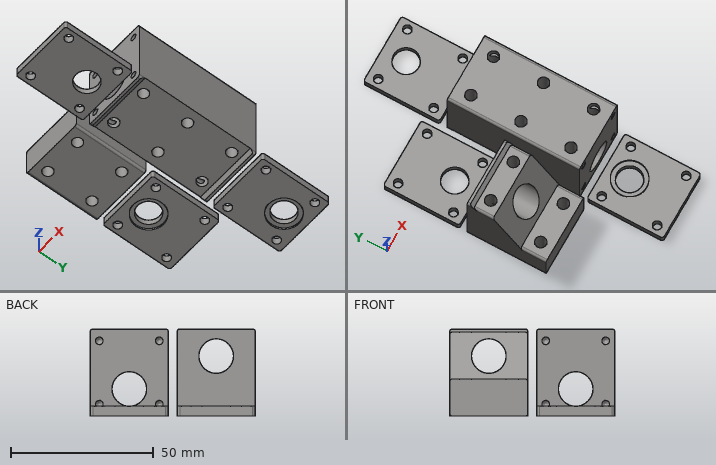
import cadquery as cq
import math

TOTAL_WIDTH = 57.8
TOTAL_LENGTH = 120.0
HEIGHT = 30.5
GAP = 3.0
EDGE_RADIUS = 1.0

WIDTH = (TOTAL_WIDTH - GAP) / 2
COLUMN_X = (WIDTH + GAP) / 2

PLATE_LENGTH = HEIGHT
PLATE_THICKNESS = 3.5
PLATE_HOLE_DIAMETER = 10.0
SCREW_HOLE_DIAMETER = 3.4
RECESS_DIAMETER = 13.5
RECESS_DEPTH = 0.8
BOTTOM_RECESS = 0.0
TOP_RECESS = PLATE_THICKNESS - RECESS_DEPTH

SCREW_SPACING_X = 21.0
SCREW_SPACING_LONG = 22.2

BORE_DIAMETER = 12.0
BORE_TO_EDGE = 9.5

MOUNT_DIAMETER = 4.3
MOUNT_SPACING_X = 16.3
MOUNT_SPACING_Y = 20.0

RELIEF_DEPTH = 1.1
LIP_WIDTH = 1.1
LIP_FOOT_WIDTH = 2.6

BLOCK_LENGTH = TOTAL_LENGTH - 2 * (PLATE_LENGTH + GAP)
TAPPED_DIAMETER = 2.6
TAPPED_DEPTH = 12.0
DRILL_POINT_ANGLE = 90.0

WEDGE_LENGTH = 31.7
SHELF_END = 10.5
SHELF_HEIGHT = HEIGHT - RELIEF_DEPTH
SLOPE_END = 21.5
STEP_HEIGHT = 13.0
MOUNT_TO_BACK = 6.5

WEDGE_SETBACK = 30.0
WEDGE_BACK_Y = -TOTAL_LENGTH / 2 + WEDGE_SETBACK + WEDGE_LENGTH


def cylinders_along_z(points, diameter, height):
    """Upright cylinders standing on the XY plane."""
    return cq.Workplane("XY").pushPoints(points).circle(diameter / 2).extrude(height)


def bore_along_y(length, axis_z):
    """Round bar along Y, from y = -length / 2 to y = length / 2."""
    return (
        cq.Workplane("XZ", origin=(0, length / 2, axis_z))
        .circle(BORE_DIAMETER / 2)
        .extrude(length)
    )


def make_plate(hole_side, recess_bottom):
    """Plate centred on the Z axis, with a round recess that starts at the height recess_bottom.

    hole_side is +1 or -1, the Y end that the large hole is near.
    """
    plate = (
        cq.Workplane("XY")
        .rect(WIDTH, PLATE_LENGTH)
        .extrude(PLATE_THICKNESS)
        .edges("|Z")
        .fillet(EDGE_RADIUS)
    )
    screw_points = [
        (x * SCREW_SPACING_X / 2, y * SCREW_SPACING_LONG / 2) for x in (-1, 1) for y in (-1, 1)
    ]
    hole_point = (0, hole_side * (PLATE_LENGTH / 2 - BORE_TO_EDGE))
    plate = plate.cut(cylinders_along_z(screw_points, SCREW_HOLE_DIAMETER, PLATE_THICKNESS))
    plate = plate.cut(cylinders_along_z([hole_point], PLATE_HOLE_DIAMETER, PLATE_THICKNESS))
    recess = cylinders_along_z([hole_point], RECESS_DIAMETER, RECESS_DEPTH)
    return plate.cut(recess.translate((0, 0, recess_bottom)))


def make_tapped_hole():
    """Drilled hole with a conical end, opening at z = 0 and going up along Z."""
    radius = TAPPED_DIAMETER / 2
    point_length = radius / math.tan(math.radians(DRILL_POINT_ANGLE / 2))
    return (
        cq.Workplane("XZ")
        .polyline([(0, 0), (radius, 0), (radius, TAPPED_DEPTH), (0, TAPPED_DEPTH + point_length)])
        .close()
        .revolve(360, (0, 0, 0), (0, 1, 0))
    )


def make_underside_relief():
    """Shallow channel across the underside of the long block, leaving a lip at each end."""
    mouth = BLOCK_LENGTH / 2 - LIP_WIDTH
    roof = BLOCK_LENGTH / 2 - LIP_FOOT_WIDTH
    return (
        cq.Workplane("YZ", origin=(-WIDTH / 2, 0, 0))
        .polyline([(-mouth, 0), (mouth, 0), (roof, RELIEF_DEPTH), (-roof, RELIEF_DEPTH)])
        .close()
        .extrude(WIDTH)
    )


def make_block():
    """Long block centred on the Z axis, standing on z = 0."""
    block = (
        cq.Workplane("XY")
        .box(WIDTH, BLOCK_LENGTH, HEIGHT, centered=(True, True, False))
        .edges("|Y")
        .fillet(EDGE_RADIUS)
    )
    block = block.cut(bore_along_y(BLOCK_LENGTH, BORE_TO_EDGE))
    block = block.cut(make_underside_relief())

    mount_points = [
        (x * MOUNT_SPACING_X / 2, y * MOUNT_SPACING_Y) for x in (-1, 1) for y in (-1, 0, 1)
    ]
    block = block.cut(cylinders_along_z(mount_points, MOUNT_DIAMETER, HEIGHT))

    tapped_hole = make_tapped_hole()
    for end in (-1, 1):
        pointing_in = tapped_hole.rotate((0, 0, 0), (1, 0, 0), end * 90)
        for side in (-1, 1):
            for level in (-1, 1):
                x = side * SCREW_SPACING_X / 2
                z = HEIGHT / 2 + level * SCREW_SPACING_LONG / 2
                block = block.cut(pointing_in.translate((x, end * BLOCK_LENGTH / 2, z)))
    return block


def make_wedge():
    """Wedge block centred on the Z axis, standing on z = 0, with its tall face at +Y."""
    back = WEDGE_LENGTH / 2
    wedge = (
        cq.Workplane("YZ", origin=(-WIDTH / 2, 0, 0))
        .polyline([
            (back, 0),
            (back, HEIGHT),
            (back - LIP_WIDTH, HEIGHT),
            (back - LIP_FOOT_WIDTH, SHELF_HEIGHT),
            (back - SHELF_END, SHELF_HEIGHT),
            (back - SLOPE_END, STEP_HEIGHT),
            (back - WEDGE_LENGTH, STEP_HEIGHT),
            (back - WEDGE_LENGTH, 0),
        ])
        .close()
        .extrude(WIDTH)
        .edges("|Y")
        .fillet(EDGE_RADIUS)
    )
    wedge = wedge.cut(bore_along_y(WEDGE_LENGTH, HEIGHT - BORE_TO_EDGE))

    first_row = back - MOUNT_TO_BACK
    mount_points = [
        (x * MOUNT_SPACING_X / 2, first_row - row * MOUNT_SPACING_Y) for x in (-1, 1) for row in (0, 1)
    ]
    return wedge.cut(cylinders_along_z(mount_points, MOUNT_DIAMETER, HEIGHT))


end_plate_y = (TOTAL_LENGTH - PLATE_LENGTH) / 2
left_plate_y = WEDGE_BACK_Y + GAP + PLATE_LENGTH / 2

block = make_block().translate((COLUMN_X, 0, 0))
wedge = make_wedge().translate((-COLUMN_X, WEDGE_BACK_Y - WEDGE_LENGTH / 2, 0))
front_plate = make_plate(1, TOP_RECESS).translate((COLUMN_X, -end_plate_y, 0))
back_plate = make_plate(1, BOTTOM_RECESS).translate((COLUMN_X, end_plate_y, 0))
left_plate = make_plate(-1, BOTTOM_RECESS).translate((-COLUMN_X, left_plate_y, 0))

result = cq.Compound.makeCompound([
    block.val(),
    wedge.val(),
    front_plate.val(),
    back_plate.val(),
    left_plate.val(),
])